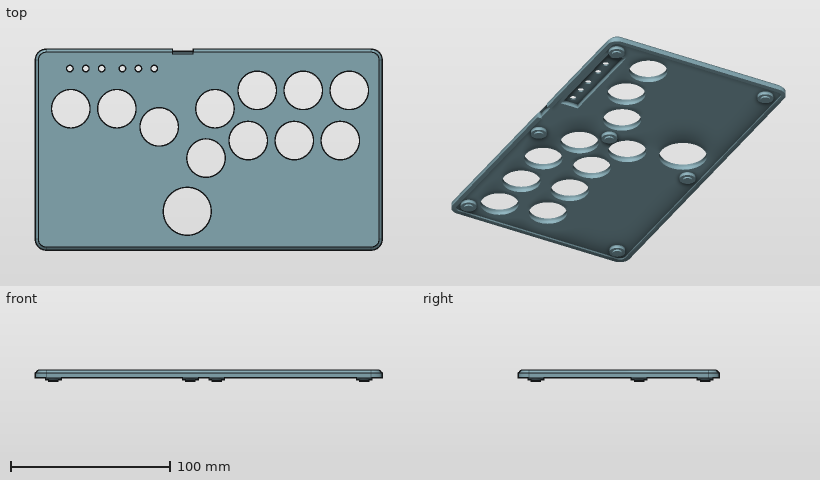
import cadquery as cq

length = 218.0
width = 126.4
plate_thickness = 5.0
corner_radius = 7.0
top_chamfer = 2.0

button_diameter = 24.0
large_button_diameter = 30.0
small_hole_diameter = 4.0

button_pitch = 28.9
upper_row_start = (30.45, 37.2)
lower_row_start = (24.8, 5.7)
buttons_per_row = 3
buttons_in_left_pair = 2
left_pair_start = (-86.6, 25.7)
single_buttons = [(-31.1, 14.3), (3.9, 25.7), (-1.7, -5.3)]
large_button_centre = (-13.5, -38.7)

small_hole_pitch = 10.0
small_holes_per_group = 3
small_hole_y = 50.9
small_group_starts = (-87.2, -54.2)

notch_centre_x = -16.2
notch_width = 12.9
notch_height = 4.4

recess_depth = 1.0
rim_width = 3.0

pocket_roof = 1.0
pocket_margin_x = 5.0
pocket_margin_y = 6.0

foot_diameter = 10.0
foot_height = 1.2
foot_tip_diameter = 6.0
foot_tip_height = 1.0
foot_columns = (-97.6, 5.0, 97.6)
foot_rows = (-52.0, 54.2)
middle_foot = (-11.5, 12.8)


def row_of_points(start, pitch, count):
    """Points spaced evenly along X from a starting point."""
    x, y = start
    return [(x + i * pitch, y) for i in range(count)]


def make_plate():
    """Rounded rectangle with its underside at Z = 0 and a chamfered top edge."""
    plate = cq.Workplane("XY").box(length, width, plate_thickness, centered=(True, True, False))
    plate = plate.edges("|Z").fillet(corner_radius)
    return plate.faces(">Z").chamfer(top_chamfer)


def through_holes(points, diameter):
    """Cylinders that cut right through the plate."""
    return cq.Workplane("XY").pushPoints(points).circle(diameter / 2).extrude(plate_thickness)


def make_recess():
    """Shallow rounded block that hollows the underside and leaves the rim."""
    recess = cq.Workplane("XY").rect(length - 2 * rim_width, width - 2 * rim_width).extrude(recess_depth)
    return recess.edges("|Z").fillet(corner_radius - rim_width)


def make_pocket():
    """Block that thins the plate around both groups of small holes."""
    first_x = small_hole_points[0][0]
    last_x = small_hole_points[-1][0]
    return (
        cq.Workplane("XY")
        .center((first_x + last_x) / 2, small_hole_y)
        .rect(last_x - first_x + 2 * pocket_margin_x, 2 * pocket_margin_y)
        .extrude(plate_thickness - pocket_roof)
    )


def make_notch():
    """Block that opens the rear rim from below, up into the chamfer."""
    notch_centre_y = width / 2 - rim_width / 2
    return (
        cq.Workplane("XY")
        .center(notch_centre_x, notch_centre_y)
        .rect(notch_width, rim_width)
        .extrude(notch_height)
    )


def make_feet(points):
    """Stepped round feet: a wide boss from the recess floor, then a narrower tip below it."""
    feet = cq.Workplane("XY").workplane(offset=recess_depth).pushPoints(points)
    bosses = feet.circle(foot_diameter / 2).extrude(-(recess_depth + foot_height))
    tips = feet.circle(foot_tip_diameter / 2).extrude(-(recess_depth + foot_height + foot_tip_height))
    return bosses.union(tips)


button_points = (
    row_of_points(upper_row_start, button_pitch, buttons_per_row)
    + row_of_points(lower_row_start, button_pitch, buttons_per_row)
    + row_of_points(left_pair_start, button_pitch, buttons_in_left_pair)
    + single_buttons
)
small_hole_points = []
for group_start in small_group_starts:
    small_hole_points += row_of_points((group_start, small_hole_y), small_hole_pitch, small_holes_per_group)
foot_points = [(x, y) for x in foot_columns for y in foot_rows] + [middle_foot]

result = make_plate().cut(make_recess()).cut(make_pocket())
result = result.cut(through_holes(button_points, button_diameter))
result = result.cut(through_holes([large_button_centre], large_button_diameter))
result = result.cut(through_holes(small_hole_points, small_hole_diameter))
result = result.cut(make_notch())
result = result.union(make_feet(foot_points))